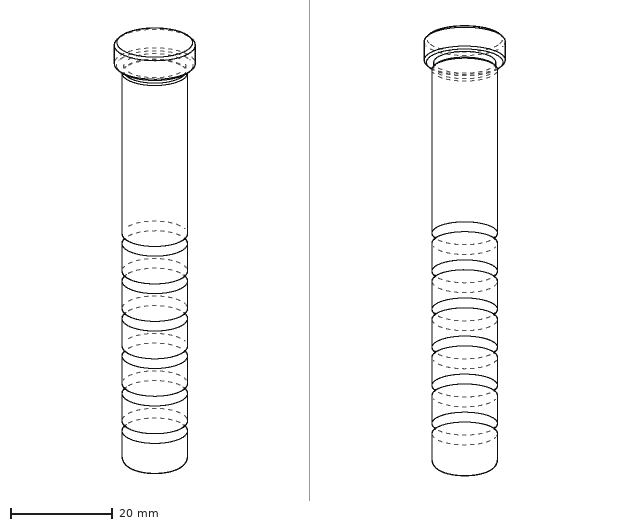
import cadquery as cq

total_length = 90.0
head_radius = 8.0
head_height = 4.95
head_chamfer = 0.5
head_underside_chamfer = 0.45
body_radius = 6.5
tip_fillet = 1.5

neck_radius = 6.1
neck_length = 1.2
shoulder_chamfer = body_radius - neck_radius

groove_count = 6
groove_pitch = 8.0
lowest_groove_height = 8.0
groove_width = 2.1
groove_depth = 0.6

head_bottom = total_length - head_height
body_top = head_bottom - neck_length


def cylinder(radius, bottom, height):
    return cq.Workplane("XY").workplane(offset=bottom).circle(radius).extrude(height)


def make_body():
    body = cylinder(body_radius, 0, body_top)
    return body.faces("<Z").edges().fillet(tip_fillet).faces(">Z").edges().chamfer(shoulder_chamfer)


def make_neck():
    return cylinder(neck_radius, body_top, neck_length)


def make_head():
    head = cylinder(head_radius, head_bottom, head_height)
    head = head.faces(">Z").edges().chamfer(head_chamfer)
    return head.faces("<Z").edges().chamfer(head_underside_chamfer)


def make_groove_cutter(height):
    """Ring with a circular-arc section whose chord lies on the body surface."""
    half_width = groove_width / 2
    arc_radius = (half_width**2 + groove_depth**2) / (2 * groove_depth)
    arc_center = body_radius - groove_depth + arc_radius
    section = cq.Workplane("XZ").center(arc_center, height).circle(arc_radius)
    return section.revolve(360, (-arc_center, 0), (-arc_center, 1))


result = make_body().union(make_neck()).union(make_head())
for index in range(groove_count):
    result = result.cut(make_groove_cutter(lowest_groove_height + index * groove_pitch))